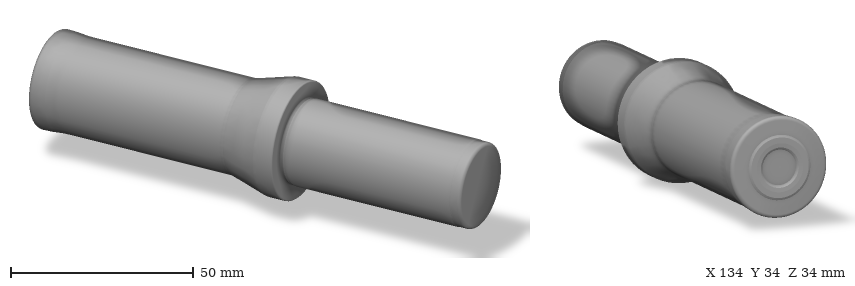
import cadquery as cq
import math

LENGTH = 134.0

FACE_X = 0.5
BOSS_HEIGHT = 0.4
BOSS_RADIUS = 9.1
BOSS_TOP_RADIUS = 8.5
RIM_RADIUS = 6.8
RECESS_RADIUS = 5.6
RECESS_FLOOR_RADIUS = 5.0
RIM_DROP = 0.1
RECESS_DEPTH = 0.7

BARREL_RADIUS = 27.5 / 2
LIP_RADIUS = 14.2
EDGE_RADIUS = 1.1
LIP_START_X = FACE_X + EDGE_RADIUS
LIP_BLEND_LENGTH = 8.3
BARREL_END_X = 60.7

FLANGE_RADIUS = 34.0 / 2
CONE_END_X = 72.5
FLANGE_END_X = 78.0
CONE_BLEND_RADIUS = 3.4
FLANGE_EDGE_RADIUS = 0.4

NECK_RADIUS = 12.0
CAP_RADIUS = 24.5 / 2
SEAT_START_X = 78.9
SEAT_END_X = 131.2
SEAT_RADIUS = 10.7
CAP_EDGE_RADIUS = 1.0

SLEEVE_RADIUS = 24.8 / 2
SLEEVE_END_RADIUS = CAP_RADIUS
SLEEVE_END_LENGTH = 0.4
SLEEVE_BEVEL_LENGTH = 0.7

AXIS_START = (0, 0, 0)
AXIS_END = (1, 0, 0)


def turn(profile):
    """Revolve a closed half profile, drawn in XY, about the X axis."""
    return profile.close().revolve(360, AXIS_START, AXIS_END)


def circle_edge(x, radius):
    """Selector box that encloses only the circular edge at x with this radius."""
    margin = 0.07
    reach = radius + margin
    return cq.selectors.BoxSelector(
        (x - margin, -reach, -reach), (x + margin, reach, reach), boundingbox=True
    )


def make_core():
    blend_middle_x = LIP_START_X + LIP_BLEND_LENGTH / 2
    blend_middle_radius = (LIP_RADIUS + BARREL_RADIUS) / 2
    blend_end_x = LIP_START_X + LIP_BLEND_LENGTH
    round_middle_x = LIP_START_X - EDGE_RADIUS * math.sin(math.pi / 4)
    round_middle_radius = LIP_RADIUS - EDGE_RADIUS * (1 - math.cos(math.pi / 4))
    profile = (
        cq.Workplane("XY")
        .moveTo(RECESS_DEPTH, 0)
        .lineTo(RECESS_DEPTH, RECESS_FLOOR_RADIUS)
        .lineTo(RIM_DROP, RECESS_RADIUS)
        .lineTo(0, RIM_RADIUS)
        .lineTo(0, BOSS_TOP_RADIUS)
        .lineTo(BOSS_HEIGHT, BOSS_RADIUS)
        .lineTo(FACE_X, LIP_RADIUS - EDGE_RADIUS)
        .threePointArc((round_middle_x, round_middle_radius), (LIP_START_X, LIP_RADIUS))
        .tangentArcPoint((blend_middle_x, blend_middle_radius), relative=False)
        .tangentArcPoint((blend_end_x, BARREL_RADIUS), relative=False)
        .lineTo(BARREL_END_X, BARREL_RADIUS)
        .lineTo(CONE_END_X, FLANGE_RADIUS)
        .lineTo(FLANGE_END_X, FLANGE_RADIUS)
        .lineTo(FLANGE_END_X, NECK_RADIUS)
        .lineTo(SEAT_START_X, NECK_RADIUS)
        .lineTo(SEAT_START_X, SEAT_RADIUS)
        .lineTo(SEAT_END_X, SEAT_RADIUS)
        .lineTo(SEAT_END_X, CAP_RADIUS)
        .lineTo(LENGTH, CAP_RADIUS)
        .lineTo(LENGTH, 0)
    )
    core = turn(profile)
    for x, radius, blend in (
        (BARREL_END_X, BARREL_RADIUS, CONE_BLEND_RADIUS),
        (CONE_END_X, FLANGE_RADIUS, CONE_BLEND_RADIUS),
        (FLANGE_END_X, FLANGE_RADIUS, FLANGE_EDGE_RADIUS),
        (LENGTH, CAP_RADIUS, CAP_EDGE_RADIUS),
    ):
        core = core.edges(circle_edge(x, radius)).fillet(blend)
    return core


def make_sleeve():
    front_bevel_x = SEAT_START_X + SLEEVE_END_LENGTH
    back_bevel_x = SEAT_END_X - SLEEVE_END_LENGTH
    profile = (
        cq.Workplane("XY")
        .moveTo(SEAT_START_X, SEAT_RADIUS)
        .lineTo(SEAT_START_X, SLEEVE_END_RADIUS)
        .lineTo(front_bevel_x, SLEEVE_END_RADIUS)
        .lineTo(front_bevel_x + SLEEVE_BEVEL_LENGTH, SLEEVE_RADIUS)
        .lineTo(back_bevel_x - SLEEVE_BEVEL_LENGTH, SLEEVE_RADIUS)
        .lineTo(back_bevel_x, SLEEVE_END_RADIUS)
        .lineTo(SEAT_END_X, SLEEVE_END_RADIUS)
        .lineTo(SEAT_END_X, SEAT_RADIUS)
    )
    return turn(profile)


core = make_core()
sleeve = make_sleeve()

result = cq.Compound.makeCompound([core.val(), sleeve.val()])